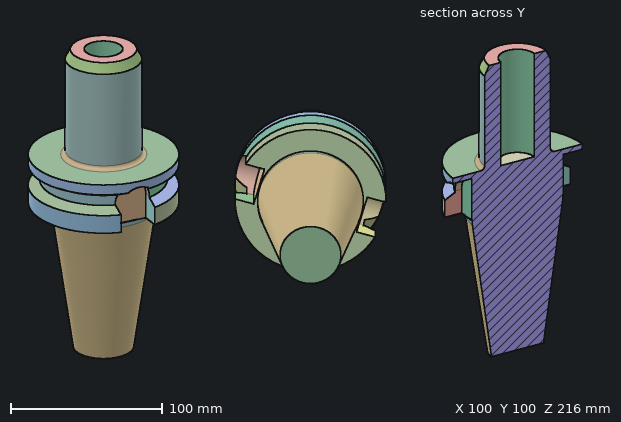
import cadquery as cq

total_height = 216.0
taper_length = 101.8
flange_bottom = 104.8
flange_top = 139.8

taper_rate = 7 / 24
taper_large_radius = 35.0
taper_small_radius = taper_large_radius - taper_length * taper_rate / 2

flange_radius = 100.0 / 2
groove_radius = 42.4
lower_rim_height = 12.7
upper_rim_height = 7.1
groove_floor_height = 7.1
groove_flank_height = (
    flange_top - flange_bottom - lower_rim_height - upper_rim_height - groove_floor_height
) / 2

nose_radius = 25.5
tip_radius = 22.0
tip_height = 7.0
root_fillet = 3.0
bore_radius = 12.7
bore_depth = total_height - flange_top

slot_width = 25.5
slot_height = 30.7
slot_floor_distance = 35.5


def make_body():
    """Revolve the taper, flange and nose as one half profile in the XZ plane."""
    lower_rim_top = flange_bottom + lower_rim_height
    groove_bottom = lower_rim_top + groove_flank_height
    groove_top = groove_bottom + groove_floor_height
    upper_rim_bottom = flange_top - upper_rim_height
    return (
        cq.Workplane("XZ")
        .lineTo(taper_small_radius, 0)
        .lineTo(taper_large_radius, taper_length)
        .lineTo(taper_large_radius, flange_bottom)
        .lineTo(flange_radius, flange_bottom)
        .lineTo(flange_radius, lower_rim_top)
        .lineTo(groove_radius, groove_bottom)
        .lineTo(groove_radius, groove_top)
        .lineTo(flange_radius, upper_rim_bottom)
        .lineTo(flange_radius, flange_top)
        .lineTo(nose_radius + root_fillet, flange_top)
        .radiusArc((nose_radius, flange_top + root_fillet), root_fillet)
        .lineTo(nose_radius, total_height - tip_height)
        .lineTo(tip_radius, total_height)
        .lineTo(0, total_height)
        .close()
        .revolve(360, (0, 0, 0), (0, 1, 0))
    )


def make_bore():
    """Blind hole down from the tip."""
    return (
        cq.Workplane("XY")
        .workplane(offset=total_height - bore_depth)
        .circle(bore_radius)
        .extrude(bore_depth)
    )


def make_slot(side):
    """Round-topped slot, open below, with a flat floor facing the given X side (-1 or 1)."""
    half_width = slot_width / 2
    slot_top = flange_bottom + slot_height
    arc_start = slot_top - half_width
    slot_depth = flange_radius - slot_floor_distance
    return (
        cq.Workplane("YZ")
        .workplane(offset=side * slot_floor_distance)
        .moveTo(-half_width, flange_bottom)
        .lineTo(-half_width, arc_start)
        .threePointArc((0, slot_top), (half_width, arc_start))
        .lineTo(half_width, flange_bottom)
        .close()
        .extrude(side * slot_depth)
    )


result = make_body().cut(make_bore())
for side in (-1, 1):
    result = result.cut(make_slot(side))